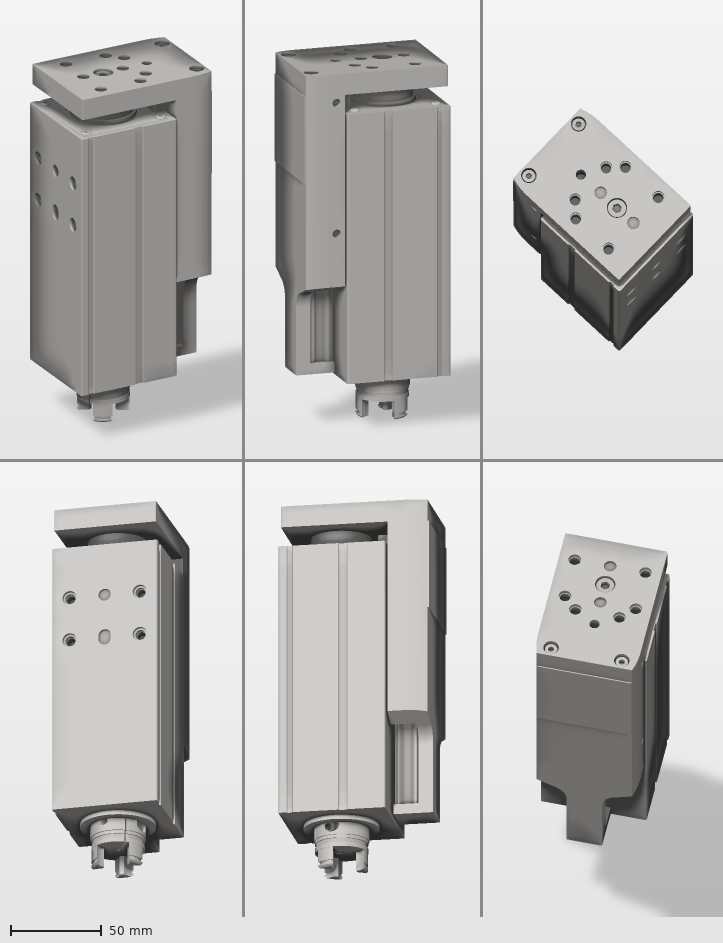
import cadquery as cq
import math


total_height = 204.3
housing_side = 60.0
housing_bottom = 27.0
housing_top = 181.0
housing_fillet = 1.0
axis_y = housing_side / 2

mount_spacing_x = 20.0
dowel_diameter = 7.0
dowel_depth = 2.0

plate_thickness = 12.0
plate_bottom = total_height - plate_thickness
plate_front = 1.2
plate_fillet = 0.6

slide_half_width = 29.0
slide_back_half_width = 27.0
slide_front = 61.0
slide_back = 83.4
flank_start = 71.3

slide_bottom = 28.8
shoulder_z = 82.7
tongue_half_width = 10.0
shoulder_radius = 10.0
shoulder_angle = 68.0
shoulder_arc_end_z = 68.2
foot_top = 34.5
channel_half_width = 18.0
channel_floor = 75.2
back_pad_step = 0.6
back_pad_bottom = 142.4
back_pad_half_width = 26.5
grease_hole_diameter = 5.0
grease_hole_depth = 4.0
grease_hole_y = 66.0
grease_hole_heights = (113.2, 188.0)

rail_front = slide_front
rail_top = 188.0

pad_bottom = 113.0
lug_top = 188.5
lug_front = 53.3
lug_half_width = 16.3
lug_fillet = 1.0
stop_y = 57.5
stop_pin_diameter = 5.0
stop_pin_tip = 1.5

rod_screw = dict(head=10.0, height=5.0, shank=5.7, hexagon=5.5, socket=3.3)
slide_screw = dict(head=7.0, height=4.5, shank=4.0, hexagon=3.7, socket=2.9)
rod_screw_bore = 11.2
slide_screw_bore = 8.5
screw_bore_depth = 6.1
slide_screw_y = 78.0
slide_screw_depth = 8.2

rod_diameter = 34.0
collar_diameter = 37.2
collar_height = 1.8
rod_depth = 10.0

pilot_diameter = 42.0
pilot_bottom = 24.5
hub_diameter = 30.8
hub_top = 28.0
hub_bore_diameter = 17.0
claw_length = 10.8
flange_diameter = 29.6
claw_diameter = 29.5
claw_groove_diameter = 28.0
claw_groove_bottom = 1.8
claw_groove_top = 3.5
claw_chamfer = 1.0
claw_count = 3
pocket_centre_radius = 11.6
pocket_diameter = 18.4
step_top = 17.5
groove_diameter = 28.4
groove_bottom = 13.3
groove_top = 15.7
slit_width = 0.8
slit_angle = -60.0
clamp_screw_radius = 10.2
clamp_screw_z = 23.3
clamp_hole_diameter = 4.0
clamp_bore_diameter = 8.0
clamp_bore_start = 7.0


def block(x_min, x_max, y_min, y_max, z_min, z_max):
    """Box given by its limits."""
    return cq.Workplane("XY").box(
        x_max - x_min, y_max - y_min, z_max - z_min, centered=False
    ).translate((x_min, y_min, z_min))


def rod_along_z(x, y, z_min, z_max, diameter):
    """Vertical cylinder given by its axis and end heights."""
    return cq.Workplane("XY", origin=(x, y, z_min)).circle(diameter / 2).extrude(z_max - z_min)


def pointed_cylinder(point, direction, diameter, depth, cone_height=0.0):
    """Cylinder from a point along a direction, with a conical end if cone_height is given."""
    shape = cq.Solid.makeCylinder(diameter / 2, depth, cq.Vector(*point), cq.Vector(*direction))
    if cone_height > 0:
        tip_start = cq.Vector(*point) + cq.Vector(*direction) * depth
        cone = cq.Solid.makeCone(diameter / 2, 0, cone_height, tip_start, cq.Vector(*direction))
        shape = shape.fuse(cone)
    return cq.Workplane(shape)


def socket_screw(x, y, seat_z, shank_bottom, size):
    """Socket head screw pointing down, with the underside of its head at seat_z."""
    head_top = seat_z + size["height"]
    screw = rod_along_z(x, y, shank_bottom, seat_z, size["shank"])
    screw = screw.union(rod_along_z(x, y, seat_z, head_top, size["head"]))
    hexagon = cq.Workplane("XY", origin=(x, y, head_top)).transformed(rotate=(0, 0, 90))
    return screw.cut(hexagon.polygon(6, size["hexagon"]).extrude(-size["socket"]))


def slide_outline(front, z_min, z_max):
    """Prism with straight front and sides that curve inward toward the back."""
    run = slide_back - flank_start
    inset = slide_half_width - slide_back_half_width
    radius = (run ** 2 + inset ** 2) / (2 * inset)
    half_sweep = math.asin(run / radius) / 2
    mid_x = slide_half_width - radius * (1 - math.cos(half_sweep))
    mid_y = flank_start + radius * math.sin(half_sweep)
    return (
        cq.Workplane("XY", origin=(0, 0, z_min))
        .moveTo(-slide_half_width, front)
        .lineTo(slide_half_width, front)
        .lineTo(slide_half_width, flank_start)
        .threePointArc((mid_x, mid_y), (slide_back_half_width, slide_back))
        .lineTo(-slide_back_half_width, slide_back)
        .threePointArc((-mid_x, mid_y), (-slide_half_width, flank_start))
        .close()
        .extrude(z_max - z_min)
    )


groove_depth = 0.8
groove_slope = 0.6
side_groove_limits = (34.0, 39.0)
front_groove_limits = (4.5, 8.2)
cover_inset = 2.7
cover_step = 0.2
cover_screw_offset = 23.5
cover_screw_diameter = 5.5
cover_screw_height = 1.2
cover_screw_fillet = 1.0
cover_socket_diameter = 3.0
seal_recess_diameter = 41.7
seal_recess_depth = 0.6
front_hole_heights = (126.3, 151.2)
front_slot_height = 9.0
front_bore_diameter = 8.0
front_thread_diameter = 5.0
front_thread_depth = 10.0
front_step_diameter = 5.7
front_step_depth = 4.0
thread_cone_height = 1.5


def side_groove(side, y_min, y_max, front_slope):
    """Cutter for a shallow groove along a side of the housing; the front flank may slope."""
    surface = side * housing_side / 2
    floor = surface - side * groove_depth
    points = [
        (surface, y_min),
        (floor, y_min + front_slope),
        (floor, y_max - groove_slope),
        (surface, y_max),
    ]
    return (
        cq.Workplane("XY", origin=(0, 0, housing_bottom))
        .polyline(points)
        .close()
        .extrude(housing_top - housing_bottom)
    )


def make_housing():
    half = housing_side / 2
    body = block(-half, half, 0, housing_side, housing_bottom, housing_top)
    body = body.edges("|Z").fillet(housing_fillet)
    for side in (-1, 1):
        body = body.cut(side_groove(side, *side_groove_limits, 0))
        body = body.cut(side_groove(side, *front_groove_limits, groove_slope))

    cover_half = half - cover_inset
    cover_top = housing_top + cover_step
    cover = block(-cover_half, cover_half, cover_inset, housing_side - cover_inset, housing_top, cover_top)
    body = body.union(cover.edges("|Z").fillet(cover_half - cover_screw_offset))
    body = body.cut(rod_along_z(0, axis_y, housing_top - seal_recess_depth, cover_top, seal_recess_diameter))
    for x in (-cover_screw_offset, cover_screw_offset):
        for y in (axis_y - cover_screw_offset, axis_y + cover_screw_offset):
            head_top = housing_top + cover_screw_height
            head = rod_along_z(x, y, housing_top, head_top, cover_screw_diameter)
            head = head.faces(">Z").edges().fillet(cover_screw_fillet)
            body = body.union(head).cut(rod_along_z(x, y, housing_top, head_top, cover_socket_diameter))
    body = body.union(rod_along_z(0, axis_y, housing_top - seal_recess_depth,
                                  housing_top + collar_height, collar_diameter))
    body = body.cut(rod_along_z(0, axis_y, housing_top - rod_depth, plate_bottom, rod_diameter))

    pad = block(-lug_half_width, lug_half_width, housing_side, slide_front, pad_bottom, lug_top)
    lug = block(-lug_half_width, lug_half_width, lug_front, slide_front, housing_top, lug_top)
    lug = lug.edges("|Z and <Y").fillet(lug_fillet)
    pin_length = plate_bottom - lug_top
    pin = pointed_cylinder((0, stop_y, lug_top), (0, 0, 1), stop_pin_diameter, pin_length, stop_pin_tip)
    body = body.union(lug).union(pad).union(pin)

    body = body.union(rod_along_z(0, axis_y, pilot_bottom, housing_bottom, pilot_diameter))
    body = body.cut(rod_along_z(0, axis_y, pilot_bottom, hub_top, hub_diameter))

    inward = (0, 1, 0)
    for z in front_hole_heights:
        for x in (-mount_spacing_x, mount_spacing_x):
            place = (x, 0, z)
            body = body.cut(pointed_cylinder(place, inward, front_bore_diameter, dowel_depth))
            body = body.cut(pointed_cylinder(place, inward, front_step_diameter, front_step_depth))
            body = body.cut(pointed_cylinder(place, inward, front_thread_diameter, front_thread_depth,
                                             thread_cone_height))
    slot_z, dowel_z = front_hole_heights
    body = body.cut(pointed_cylinder((0, 0, dowel_z), inward, dowel_diameter, dowel_depth))
    slot = cq.Workplane("XZ", origin=(0, 0, slot_z)).slot2D(front_slot_height, dowel_diameter, 90)
    return body.cut(slot.extrude(-dowel_depth))


plate_row_offset = 12.5
plate_hole_rows = (axis_y - plate_row_offset, axis_y + plate_row_offset)
plate_thread_diameter = 5.7
plate_thread_depth = 9.0
plate_inner_x = 12.5
plate_inner_y = axis_y + mount_spacing_x
stop_hole_diameter = 5.7


def make_plate():
    plate = slide_outline(plate_front, plate_bottom, total_height)
    plate = plate.edges("|Z and <Y").fillet(plate_fillet)
    down = (0, 0, -1)

    thread_places = [(side * mount_spacing_x, y) for side in (-1, 1) for y in plate_hole_rows]
    thread_places += [(side * plate_inner_x, plate_inner_y) for side in (-1, 1)]
    for x, y in thread_places:
        place = (x, y, total_height)
        plate = plate.cut(pointed_cylinder(place, down, dowel_diameter, dowel_depth))
        plate = plate.cut(pointed_cylinder(place, down, plate_thread_diameter, plate_thread_depth))
    for y in plate_hole_rows:
        plate = plate.cut(pointed_cylinder((0, y, total_height), down, dowel_diameter, dowel_depth))

    plate = plate.cut(pointed_cylinder((0, stop_y, total_height), down, stop_hole_diameter, plate_thickness))

    rod_place = (0, axis_y, total_height)
    plate = plate.cut(pointed_cylinder(rod_place, down, rod_screw_bore, screw_bore_depth))
    plate = plate.cut(pointed_cylinder(rod_place, down, rod_screw["shank"], plate_thickness))
    for x in (-mount_spacing_x, mount_spacing_x):
        place = (x, slide_screw_y, total_height)
        plate = plate.cut(pointed_cylinder(place, down, slide_screw_bore, screw_bore_depth))
        plate = plate.cut(pointed_cylinder(place, down, slide_screw["shank"], plate_thickness))
    return plate


def make_rod():
    rod = rod_along_z(0, axis_y, housing_top - rod_depth, plate_bottom, rod_diameter)
    seat = total_height - screw_bore_depth
    return rod.union(socket_screw(0, axis_y, seat, housing_top, rod_screw))


def slide_front_outline():
    """Wide upper part, sloping shoulders, concave arcs and narrow lower part, cut through Y."""
    arc_centre_x = tongue_half_width + shoulder_radius
    sweep = math.radians(shoulder_angle)

    def arc_point(angle):
        return (arc_centre_x - shoulder_radius * math.cos(angle),
                shoulder_arc_end_z + shoulder_radius * math.sin(angle))

    half_outline = (
        cq.Workplane("XZ")
        .moveTo(0, slide_bottom)
        .lineTo(tongue_half_width, slide_bottom)
        .lineTo(tongue_half_width, shoulder_arc_end_z)
        .threePointArc(arc_point(sweep / 2), arc_point(sweep))
        .lineTo(slide_half_width, shoulder_z)
        .lineTo(slide_half_width, plate_bottom)
        .lineTo(0, plate_bottom)
        .close()
        .extrude(-slide_back)
    )
    return half_outline.union(half_outline.mirror("YZ"))


def make_slide():
    slide = slide_outline(slide_front, slide_bottom, plate_bottom).intersect(slide_front_outline())
    slide = slide.cut(block(-channel_half_width, channel_half_width, slide_front, channel_floor,
                            foot_top, plate_bottom))
    slide = slide.union(block(-back_pad_half_width, back_pad_half_width,
                              slide_back, slide_back + back_pad_step, back_pad_bottom, plate_bottom))
    for z in grease_hole_heights:
        slide = slide.cut(pointed_cylinder((-slide_half_width, grease_hole_y, z), (1, 0, 0),
                                           grease_hole_diameter, grease_hole_depth))
    seat = total_height - screw_bore_depth
    for x in (-mount_spacing_x, mount_spacing_x):
        slide = slide.union(socket_screw(x, slide_screw_y, seat, plate_bottom - slide_screw_depth,
                                         slide_screw))
    return slide


def make_rail():
    """Guide rail in the channel of the slide, waisted on both sides."""
    half_profile = [
        (6.1, channel_floor),
        (6.1, 73.8),
        (7.0, 73.8),
        (7.0, 72.3),
        (5.0, 70.0),
        (5.0, 65.8),
        (7.0, 63.7),
        (7.0, 63.0),
        (6.1, 62.1),
        (6.1, rail_front),
    ]
    other_half = [(-x, y) for x, y in reversed(half_profile)]
    return (
        cq.Workplane("XY", origin=(0, 0, foot_top))
        .polyline(half_profile + other_half)
        .close()
        .extrude(rail_top - foot_top)
    )


def make_coupling():
    hub = rod_along_z(0, axis_y, step_top, hub_top, hub_diameter)
    hub = hub.union(rod_along_z(0, axis_y, groove_top, step_top, flange_diameter))
    hub = hub.union(rod_along_z(0, axis_y, groove_bottom, groove_top, groove_diameter))
    hub = hub.union(rod_along_z(0, axis_y, claw_length, groove_bottom, flange_diameter))

    claws = rod_along_z(0, axis_y, 0, claw_length, claw_diameter).faces("<Z").chamfer(claw_chamfer)
    claw_groove = rod_along_z(0, axis_y, claw_groove_bottom, claw_groove_top, claw_diameter).cut(
        rod_along_z(0, axis_y, claw_groove_bottom, claw_groove_top, claw_groove_diameter))
    claws = claws.cut(claw_groove)
    claws = claws.cut(rod_along_z(0, axis_y, 0, claw_length, hub_bore_diameter))
    for index in range(claw_count):
        angle = math.radians(30 + index * 360 / claw_count)
        x = pocket_centre_radius * math.cos(angle)
        y = axis_y + pocket_centre_radius * math.sin(angle)
        claws = claws.cut(rod_along_z(x, y, 0, claw_length, pocket_diameter))
    coupling = hub.union(claws)

    slit = block(0, hub_diameter, -slit_width / 2, slit_width / 2, claw_length, hub_top)
    slit = slit.rotate((0, 0, 0), (0, 0, 1), slit_angle).translate((0, axis_y, 0))
    coupling = coupling.cut(slit)
    out = math.radians(slit_angle)
    across = (-math.sin(out), math.cos(out), 0)
    centre = cq.Vector(clamp_screw_radius * math.cos(out),
                       axis_y + clamp_screw_radius * math.sin(out), clamp_screw_z)
    hole_start = (centre - cq.Vector(*across) * (hub_diameter / 2)).toTuple()
    bore_start = (centre + cq.Vector(*across) * clamp_bore_start).toTuple()
    coupling = coupling.cut(pointed_cylinder(hole_start, across, clamp_hole_diameter, hub_diameter))
    return coupling.cut(pointed_cylinder(bore_start, across, clamp_bore_diameter, hub_diameter / 2))


housing = make_housing()
plate = make_plate()
rod = make_rod()
slide = make_slide()
rail = make_rail()
coupling = make_coupling()

result = cq.Compound.makeCompound([
    housing.val(), plate.val(), rod.val(), slide.val(), rail.val(), coupling.val(),
])